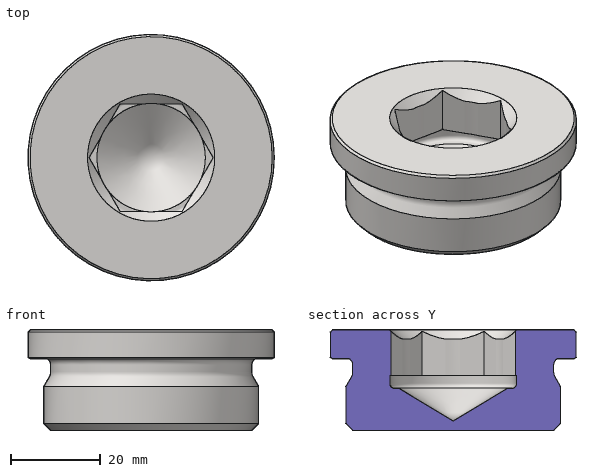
import cadquery as cq
import math

total_height = 22.5
flange_radius = 27.5
flange_height = 6.5
flange_top_chamfer = 0.5
flange_bottom_chamfer_height = 0.3
flange_bottom_chamfer_width = 0.5
shank_radius = 48.0 / 2
shank_height = 9.85
shank_chamfer = 1.55
neck_radius = 22.5
neck_fillet = 1.5
neck_fillet_height = 1.3
neck_blend_radius = 2.0
neck_cone_angle = math.radians(30)

hex_across_flats = 24.0
hex_depth = 10.25
countersink_radius = 14.2
countersink_angle = math.radians(45)
bore_radius = 12.1
drill_tip_angle = math.radians(59)
relief_radius = 28.2 / 2
relief_fillet = 1.0
relief_floor_depth = 13.05


def arc_point(center_x, center_z, radius, angle):
    """Point on a circle in the profile plane."""
    return (center_x + radius * math.cos(angle), center_z + radius * math.sin(angle))


def revolve_profile(profile):
    """Turn a closed radius-height profile about the Z axis."""
    return profile.close().revolve(360, (0, 0, 0), (0, 1, 0))


def make_body():
    flange_bottom = total_height - flange_height
    blend_center_x = neck_radius + neck_blend_radius
    blend_end_x = blend_center_x - neck_blend_radius * math.cos(neck_cone_angle)
    blend_end_z = shank_height + (shank_radius - blend_end_x) / math.tan(neck_cone_angle)
    blend_center_z = blend_end_z + neck_blend_radius * math.sin(neck_cone_angle)
    blend_middle = arc_point(
        blend_center_x, blend_center_z, neck_blend_radius, math.pi + neck_cone_angle / 2
    )
    fillet_center = (neck_radius + neck_fillet, flange_bottom - neck_fillet_height)
    fillet_sweep = math.asin(neck_fillet_height / neck_fillet)
    fillet_middle = arc_point(*fillet_center, neck_fillet, math.pi - fillet_sweep / 2)
    fillet_end = arc_point(*fillet_center, neck_fillet, math.pi - fillet_sweep)
    profile = (
        cq.Workplane("XZ")
        .lineTo(shank_radius - shank_chamfer, 0)
        .lineTo(shank_radius, shank_chamfer)
        .lineTo(shank_radius, shank_height)
        .lineTo(blend_end_x, blend_end_z)
        .threePointArc(blend_middle, (neck_radius, blend_center_z))
        .lineTo(neck_radius, fillet_center[1])
        .threePointArc(fillet_middle, fillet_end)
        .lineTo(flange_radius - flange_bottom_chamfer_width, flange_bottom)
        .lineTo(flange_radius, flange_bottom + flange_bottom_chamfer_height)
        .lineTo(flange_radius, total_height - flange_top_chamfer)
        .lineTo(flange_radius - flange_top_chamfer, total_height)
        .lineTo(0, total_height)
    )
    return revolve_profile(profile)


def make_hexagon():
    across_corners = hex_across_flats / math.cos(math.pi / 6)
    return (
        cq.Workplane("XY", origin=(0, 0, total_height))
        .polygon(6, across_corners)
        .extrude(-hex_depth)
    )


def make_turned_cavity():
    """Countersink, bore, relief groove below the hexagon and conical drill tip."""
    floor_z = total_height - relief_floor_depth
    tip_z = floor_z - bore_radius / math.tan(drill_tip_angle)
    relief_top_z = total_height - hex_depth
    countersink_depth = (countersink_radius - bore_radius) / math.tan(countersink_angle)
    fillet_center = (relief_radius - relief_fillet, floor_z + relief_fillet)
    fillet_middle = arc_point(*fillet_center, relief_fillet, math.radians(-45))
    profile = (
        cq.Workplane("XZ")
        .moveTo(0, tip_z)
        .lineTo(bore_radius, floor_z)
        .lineTo(fillet_center[0], floor_z)
        .threePointArc(fillet_middle, (relief_radius, fillet_center[1]))
        .lineTo(relief_radius, relief_top_z)
        .lineTo(bore_radius, relief_top_z)
        .lineTo(bore_radius, total_height - countersink_depth)
        .lineTo(countersink_radius, total_height)
        .lineTo(0, total_height)
    )
    return revolve_profile(profile)


result = make_body().cut(make_hexagon()).cut(make_turned_cavity())